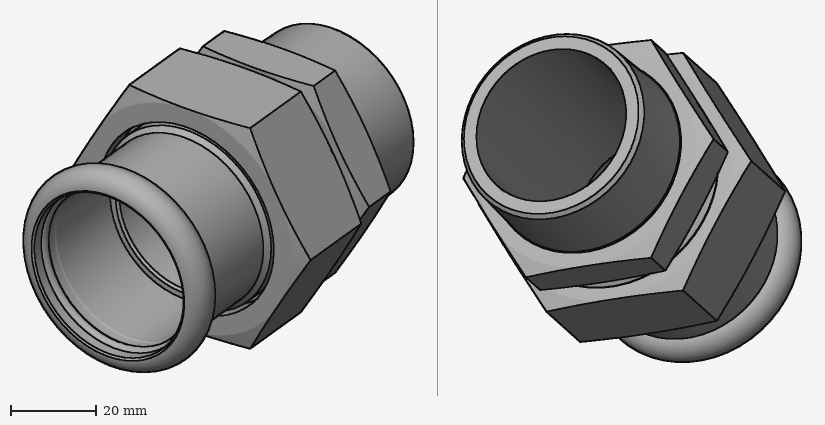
import cadquery as cq
import math

overall_length = 92.5

tube_diameter = 45.4
bead_diameter = 53.0
bead_length = 9.2
bead_corner_radius = bead_length / 2
mouth_diameter = 43.8
guide_diameter = 42.7
mouth_chamfer_length = 0.4
seal_start = 3.2
seal_inner_diameter = 41.0
seal_length = 2.8
guide_end = 8.6
guide_taper_length = 0.5
socket_diameter = 42.4
socket_depth = 31.0

collar_diameter = 48.0
collar_start = 32.3
collar_taper_length = (collar_diameter - tube_diameter) / 2

nut_width = 60.0
nut_start = 32.0
nut_end = 55.1
nut_mouth_diameter = 50.0
nut_mouth_depth = 6.0

seat_diameter = 53.7
seat_start = 55.4
neck_diameter = 50.0
neck_start = 56.9
hex_width = 55.0
hex_start = 60.0
hex_end = 71.0
shoulder_diameter = 48.0
shoulder_end = 71.5
thread_large_diameter = 47.7
thread_small_diameter = 46.3
thread_chamfer = 1.0
bore_diameter = 38.0
bore_chamfer = 0.65

hex_chamfer_angle = 15.0


def revolve_profile(profile):
    """Turn a closed (radius, y) profile about the Y axis."""
    return profile.close().revolve(360, (0, 0, 0), (0, 1, 0))


def cylinder(diameter, start, end):
    """Cylinder along +Y between two stations."""
    return cq.Workplane("XZ", origin=(0, start, 0)).circle(diameter / 2).extrude(start - end)


def chamfered_hexagon(width, start, end):
    """Hexagonal prism with corners on X, both ends turned down to the width across flats."""
    corner_diameter = width / math.cos(math.radians(30))
    prism = cq.Workplane("XZ", origin=(0, start, 0)).polygon(6, corner_diameter).extrude(start - end)
    flat_radius = width / 2
    corner_radius = corner_diameter / 2
    drop = (corner_radius - flat_radius) * math.tan(math.radians(hex_chamfer_angle))
    envelope = revolve_profile(
        cq.Workplane("XY")
        .moveTo(0, start)
        .lineTo(flat_radius, start)
        .lineTo(corner_radius, start + drop)
        .lineTo(corner_radius, end - drop)
        .lineTo(flat_radius, end)
        .lineTo(0, end)
    )
    return prism.intersect(envelope)


def socket_tube():
    """Tube with its rounded bead and the tapered start of the collar."""
    tube_radius = tube_diameter / 2
    bead_radius = bead_diameter / 2
    bead_flat_radius = bead_radius - bead_corner_radius
    return revolve_profile(
        cq.Workplane("XY")
        .moveTo(0, 0)
        .lineTo(bead_flat_radius, 0)
        .threePointArc((bead_radius, bead_length / 2), (bead_flat_radius, bead_length))
        .lineTo(tube_radius, bead_length)
        .lineTo(tube_radius, collar_start - collar_taper_length)
        .lineTo(collar_diameter / 2, collar_start)
        .lineTo(collar_diameter / 2, nut_end)
        .lineTo(0, nut_end)
    )


def union_nut():
    """Chamfered hexagon nut with a clearance recess around the collar."""
    nut = chamfered_hexagon(nut_width, nut_start, nut_end)
    return nut.cut(cylinder(nut_mouth_diameter, nut_start, nut_start + nut_mouth_depth))


def male_body():
    """Cone seat and neck, hexagon with its shoulder, and chamfered taper thread blank."""
    thread_end_radius = thread_small_diameter / 2
    turned = revolve_profile(
        cq.Workplane("XY")
        .moveTo(0, nut_end)
        .lineTo(seat_diameter / 2, nut_end)
        .lineTo(seat_diameter / 2, seat_start)
        .lineTo(neck_diameter / 2, neck_start)
        .lineTo(neck_diameter / 2, hex_end)
        .lineTo(shoulder_diameter / 2, hex_end)
        .lineTo(shoulder_diameter / 2, shoulder_end)
        .lineTo(thread_large_diameter / 2, shoulder_end)
        .lineTo(thread_end_radius, overall_length - thread_chamfer)
        .lineTo(thread_end_radius - thread_chamfer, overall_length)
        .lineTo(0, overall_length)
    )
    return turned.union(chamfered_hexagon(hex_width, hex_start, hex_end))


def inner_passage():
    """Space inside the fitting: mouth, seal ring, socket, stop face and through bore."""
    guide_radius = guide_diameter / 2
    seal_inner_radius = seal_inner_diameter / 2
    bore_radius = bore_diameter / 2
    seal_end = seal_start + seal_length
    seal_middle = seal_start + seal_length / 2
    return revolve_profile(
        cq.Workplane("XY")
        .moveTo(0, 0)
        .lineTo(mouth_diameter / 2, 0)
        .lineTo(guide_radius, mouth_chamfer_length)
        .lineTo(guide_radius, seal_start)
        .threePointArc((seal_inner_radius, seal_middle), (guide_radius, seal_end))
        .lineTo(guide_radius, guide_end)
        .lineTo(socket_diameter / 2, guide_end + guide_taper_length)
        .lineTo(socket_diameter / 2, socket_depth)
        .lineTo(bore_radius + bore_chamfer, socket_depth)
        .lineTo(bore_radius, socket_depth + bore_chamfer)
        .lineTo(bore_radius, overall_length)
        .lineTo(0, overall_length)
    )


result = socket_tube().union(union_nut()).union(male_body()).cut(inner_passage())